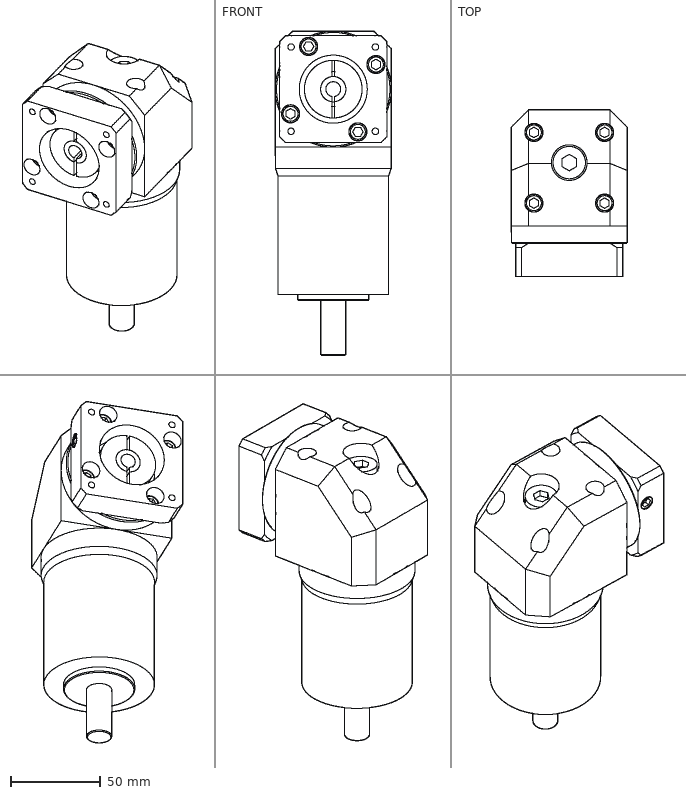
import cadquery as cq
import math


housing_width = 65.0
half_width = housing_width / 2
housing_slope = 30.0
housing_chamfer = 9.8
housing_screw_offset = 19.8
housing_screw_seat_z = -18.0

plug_y = 2.9
plug_hole_radius = 10.0
plug_radius = 9.0
plug_top_z = 24.7
plug_height = 6.0
plug_hex = 8.0
plug_hex_depth = 4.0

collar_length = 11.8
taper_length = 4.4
gearhead_radius = 31.0
gearhead_length = 66.5
pilot_radius = 20
pilot_length = 3.3
shaft_radius = 7.0
shaft_length = 30.7
turned_chamfer = 0.5

flange_length = 10.0
flange_chamfer = 0.7
flange_face_y = -half_width - flange_length
stub_radius = 9.8
stub_length = 3.6

plate_width = 59.9
plate_thickness = 18.5
plate_front_y = flange_face_y - plate_thickness
plate_corner_chamfer = 3.3
plate_back_radius = 38.0
plate_bore_radius = 19.0
plate_screw_circle = 27.5
plate_screw_angle = 30
plate_screw_seat_depth = 14.5
motor_hole_offset = 23.6
motor_hole_radius = 1.8
motor_hole_depth = 10.0
drill_point_angle = 118
side_screw_y = -49
side_screw_z = 10.7
side_screw_radius = 4.0
side_screw_sink = 0.5
side_screw_hex = 4.9
side_screw_hex_depth = 2.7

screw_hole_radius = 5.0
head_radius = 4.9
head_height = 6.0
head_chamfer = 0.7
head_hex = 5.0
head_hex_depth = 2.7
hex_corner_turn = 30

hub_radius = 16.2
hub_sink = 6.9
hub_front_y = plate_front_y + hub_sink
hub_length = flange_face_y - hub_front_y
slit_width = 1.6
sleeve_radius = 7.0
sleeve_bore_radius = 4.2
sleeve_length = 16.3


def input_plane(y):
    """Plane across the input axis: local x is X, local y is Z and the normal is -Y."""
    return cq.Workplane("XZ", origin=(0, y, 0))


def hexagon_diameter(across_flats):
    return across_flats / math.cos(math.pi / 6)


def socket_head(plane, radius, height, hexagon, hexagon_depth, turn=0):
    """Round head standing on the plane, with a hexagon socket in its top turned by the given angle."""
    top = plane.workplane(offset=height).transformed(rotate=(0, 0, hex_corner_turn + turn))
    socket = top.polygon(6, hexagon_diameter(hexagon)).extrude(-hexagon_depth)
    return plane.circle(radius).extrude(height).cut(socket)


def add_screw(body, plane, hole_depth, turn=0):
    """Cut a screw hole whose floor is the plane, and stand a chamfered screw head on that floor."""
    hole = plane.circle(screw_hole_radius).extrude(hole_depth)
    head = socket_head(plane, head_radius, head_height, head_hex, head_hex_depth, turn)
    rim = cq.selectors.RadiusNthSelector(0)
    outward = cq.selectors.DirectionMinMaxSelector(plane.plane.zDir)
    head = head.faces(outward).edges(rim).chamfer(head_chamfer)
    return body.cut(hole).union(head)


def make_block():
    """Square block with a 45 degree slope, chamfered along the sides of its top, slope and back."""
    slope_start = half_width - housing_slope
    block = (
        cq.Workplane("YZ", origin=(-half_width, 0, 0))
        .moveTo(-half_width, -half_width)
        .lineTo(half_width, -half_width)
        .lineTo(half_width, slope_start)
        .lineTo(slope_start, half_width)
        .lineTo(-half_width, half_width)
        .close()
        .extrude(housing_width)
    )
    outer_faces = block.faces(">Z or >Y or >(0,1,1)")
    return outer_faces.edges("<X or >X").chamfer(housing_chamfer)


def make_gearhead():
    """Turned output side: collar, taper, gearhead, centring pilot and output shaft."""
    collar_z = -half_width - collar_length
    taper_z = collar_z - taper_length
    gearhead_z = taper_z - gearhead_length
    pilot_z = gearhead_z - pilot_length
    shaft_z = pilot_z - shaft_length
    profile = [
        (0, -half_width),
        (half_width, -half_width),
        (half_width, collar_z),
        (gearhead_radius, taper_z),
        (gearhead_radius, gearhead_z),
        (pilot_radius, gearhead_z),
        (pilot_radius, pilot_z + turned_chamfer),
        (pilot_radius - turned_chamfer, pilot_z),
        (shaft_radius, pilot_z),
        (shaft_radius, shaft_z + turned_chamfer),
        (shaft_radius - turned_chamfer, shaft_z),
        (0, shaft_z),
    ]
    return cq.Workplane("XZ").polyline(profile).close().revolve(360, (0, 0), (0, 1))


def make_input_flange():
    """Round flange on the front of the housing with the input stub on its face."""
    flange = input_plane(-half_width).circle(half_width).extrude(flange_length)
    flange = flange.faces("<Y").chamfer(flange_chamfer)
    stub = input_plane(flange_face_y).circle(stub_radius).extrude(stub_length)
    return flange.union(stub)


def add_plug(body):
    """Filler plug standing in a round recess that breaks out of the slope."""
    plane = cq.Workplane("XY", origin=(0, plug_y, plug_top_z - plug_height))
    body = body.cut(plane.circle(plug_hole_radius).extrude(half_width))
    return body.union(socket_head(plane, plug_radius, plug_height, plug_hex, plug_hex_depth))


def make_gearbox():
    gearbox = make_block().union(make_gearhead()).union(make_input_flange())
    gearbox = add_plug(gearbox)
    for x in (-housing_screw_offset, housing_screw_offset):
        for y in (-housing_screw_offset, housing_screw_offset):
            seat = cq.Workplane("XY", origin=(x, y, housing_screw_seat_z))
            gearbox = add_screw(gearbox, seat, half_width - housing_screw_seat_z)
    sleeve_seat = input_plane(hub_front_y + sleeve_length).circle(sleeve_radius).extrude(sleeve_length)
    return gearbox.cut(sleeve_seat)


def make_motor_hole(x, z):
    """Blind drilled hole with a conical end, as a solid to cut away."""
    point_depth = motor_hole_radius / math.tan(math.radians(drill_point_angle / 2))
    profile = [
        (0, 0),
        (motor_hole_radius, 0),
        (motor_hole_radius, motor_hole_depth),
        (0, motor_hole_depth + point_depth),
    ]
    hole = cq.Workplane("XY").polyline(profile).close().revolve(360, (0, 0), (0, 1))
    return hole.translate((x, plate_front_y, z))


def make_side_screw_recess():
    """Sunk round face and hexagon socket of the screw in the -X side of the plate, to cut away."""
    side = cq.Workplane("YZ", origin=(-plate_width / 2, side_screw_y, side_screw_z))
    face = side.circle(side_screw_radius).extrude(side_screw_sink)
    socket = side.polygon(6, hexagon_diameter(side_screw_hex)).extrude(side_screw_sink + side_screw_hex_depth)
    return face.union(socket)


def make_adapter_plate():
    plate = (
        input_plane(flange_face_y)
        .rect(plate_width, plate_width).extrude(plate_thickness)
        .edges("|Y").chamfer(plate_corner_chamfer)
    )
    turned_blank = cq.Solid.makeCone(
        plate_back_radius,
        plate_back_radius + plate_thickness,
        plate_thickness,
        cq.Vector(0, flange_face_y, 0),
        cq.Vector(0, -1, 0),
    )
    plate = plate.intersect(cq.Workplane(turned_blank))
    plate = plate.cut(input_plane(flange_face_y).circle(plate_bore_radius).extrude(plate_thickness))

    for quarter in range(4):
        angle = math.radians(plate_screw_angle + 90 * quarter)
        seat = input_plane(plate_front_y + plate_screw_seat_depth).center(
            plate_screw_circle * math.cos(angle), plate_screw_circle * math.sin(angle)
        )
        plate = add_screw(plate, seat, plate_screw_seat_depth, 90 * quarter)

    for x in (-motor_hole_offset, motor_hole_offset):
        for z in (-motor_hole_offset, motor_hole_offset):
            plate = plate.cut(make_motor_hole(x, z))

    return plate.cut(make_side_screw_recess())


def make_clamping_hub():
    """Ring over the input stub, slit above and below the sleeve."""
    hub = input_plane(flange_face_y).circle(hub_radius).extrude(hub_length)
    hub = hub.cut(input_plane(flange_face_y).circle(stub_radius).extrude(stub_length))
    hub = hub.cut(input_plane(flange_face_y).circle(sleeve_radius).extrude(hub_length))
    slit = input_plane(flange_face_y - stub_length).rect(slit_width, 2 * hub_radius).extrude(hub_length)
    return hub.cut(slit)


def make_sleeve():
    """Reducing sleeve for the motor shaft, slit along its lower side."""
    back = input_plane(hub_front_y + sleeve_length)
    sleeve = back.circle(sleeve_radius).circle(sleeve_bore_radius).extrude(sleeve_length)
    slit = back.center(0, -sleeve_radius / 2).rect(slit_width, sleeve_radius).extrude(sleeve_length)
    return sleeve.cut(slit)


gearbox = make_gearbox()
adapter_plate = make_adapter_plate()
clamping_hub = make_clamping_hub()
sleeve = make_sleeve()

result = cq.Compound.makeCompound(
    [gearbox.val(), adapter_plate.val(), clamping_hub.val(), sleeve.val()]
)